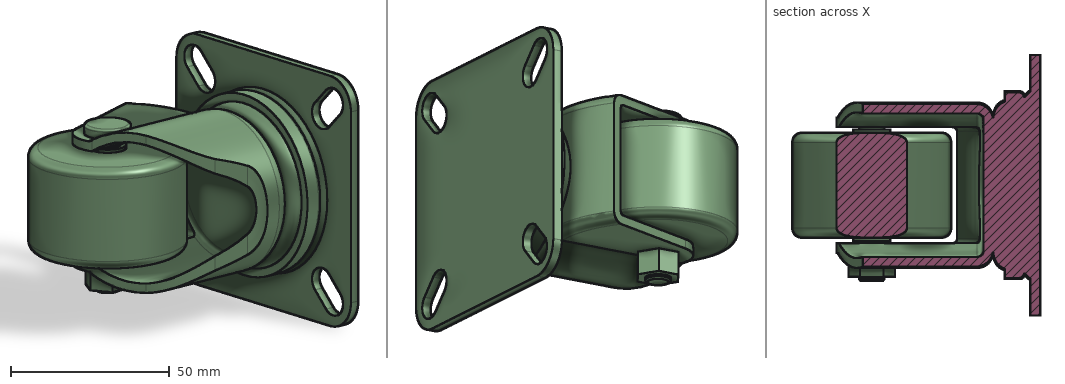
import cadquery as cq
import math


plate_side = 82.0
plate_thickness = 3.2
plate_corner_radius = 9.75
slot_width = 9.2
slot_outer_offset = 32.6
slot_inner_offset = 27.4

seat_radius = 29.9
neck_radius = 28.2
ring_start = 5.0
ring_radius = 29.6
ring_edge_radius = 1.5
ring_end = 11.25
race_start = 8.4
race_radius = 27.05
race_edge_radius = 5.2

axle_x = -18.0
axle_y = -53.0
wheel_radius = 25.0
wheel_width = 33.1
wheel_edge_radius = 3.1

sheet = 3.1
fork_start = 14.8
cup_radius = 26.0
cup_edge_radius = 5.2
channel_half_width = 21.3
channel_outer_edge_radius = 3.45
channel_inner_edge_radius = 1.35
web_radius = 37.1
axle_eye_radius = 11.1
rear_edge_tilt = 19
lower_edge_tilt = 22
lower_edge_end_x = 3.7
front_edge_bottom = (18.6, -40.4)
front_edge_top = (21.6, -29.4)
cup_rim_y = -25.0

bolt_radius = 4.0
bolt_head_radius = 7.4
bolt_head_height = 3.2
bolt_head_edge_radius = 0.8
spacer_radius = 5.9
spacer_height = 1.0
nut_across_flats = 12.7
nut_height = 7.5
bolt_protrusion = 1.35
bolt_tip_chamfer = 0.7

margin = 8.4


def disc(radius, start, end):
    """Cylinder on the swivel axis between two distances from the plate back."""
    return cq.Workplane("XZ").workplane(offset=start).circle(radius).extrude(end - start)


def axle_disc(radius, z_low, z_high):
    """Cylinder on the wheel axle between two heights."""
    return (
        cq.Workplane("XY", origin=(axle_x, axle_y, z_low))
        .circle(radius)
        .extrude(z_high - z_low)
    )


def make_plate():
    plate = (
        cq.Workplane("XZ")
        .rect(plate_side, plate_side)
        .extrude(plate_thickness)
        .edges("|Y")
        .fillet(plate_corner_radius)
    )
    slot_middle = (slot_outer_offset + slot_inner_offset) / 2
    slot_length = (slot_outer_offset - slot_inner_offset) * math.sqrt(2) + slot_width
    for x_sign in (-1, 1):
        for z_sign in (-1, 1):
            slot = (
                cq.Workplane("XZ")
                .center(x_sign * slot_middle, z_sign * slot_middle)
                .slot2D(slot_length, slot_width, 45 * x_sign * z_sign)
                .extrude(plate_thickness)
            )
            plate = plate.cut(slot)
    return plate


def make_bearing():
    seat = (
        cq.Workplane("XZ")
        .workplane(offset=plate_thickness)
        .circle(seat_radius)
        .workplane(offset=ring_start - plate_thickness)
        .circle(neck_radius)
        .loft(ruled=True)
    )
    ring = disc(ring_radius, ring_start, ring_end).faces(">Y").edges().fillet(ring_edge_radius)
    race = disc(race_radius, race_start, fork_start).faces("<Y").edges().fillet(race_edge_radius)
    return seat.union(ring).union(race)


def make_fork_form(inset, channel_edge_radius):
    """Cup joined to a U channel, with every face moved inward by the inset."""
    depth = -axle_y + web_radius
    cup = (
        disc(cup_radius - inset, fork_start + inset, depth)
        .faces(">Y")
        .edges()
        .fillet(cup_edge_radius - inset)
    )
    half_width = channel_half_width - inset
    channel = axle_disc(web_radius - inset, -half_width, half_width)
    channel = channel.edges().fillet(channel_edge_radius)
    rear_half = (
        cq.Workplane("XY")
        .box(2 * web_radius, 2 * web_radius, 2 * web_radius)
        .translate((-web_radius, axle_y, 0))
    )
    return cup.union(channel.intersect(rear_half))


def make_fork_outline():
    """Side outline of the fork, extruded through its whole width."""
    rear = math.radians(180 + rear_edge_tilt)
    lower = math.radians(lower_edge_tilt - 90)
    middle = (rear + lower + 2 * math.pi) / 2

    def eye_point(angle):
        return (
            axle_x + axle_eye_radius * math.cos(angle),
            axle_y + axle_eye_radius * math.sin(angle),
        )

    eye_rear = eye_point(rear)
    eye_lower = eye_point(lower)
    lower_edge_end = (
        lower_edge_end_x,
        eye_lower[1] + (lower_edge_end_x - eye_lower[0]) * math.tan(math.radians(lower_edge_tilt)),
    )
    rear_top = (eye_rear[0] + eye_rear[1] * math.tan(math.radians(rear_edge_tilt)), 0)
    return (
        cq.Workplane("XY")
        .moveTo(*rear_top)
        .lineTo(*eye_rear)
        .threePointArc(eye_point(middle), eye_lower)
        .lineTo(*lower_edge_end)
        .tangentArcPoint(front_edge_bottom, relative=False)
        .lineTo(*front_edge_top)
        .tangentArcPoint((cup_radius, cup_rim_y), relative=False)
        .lineTo(cup_radius + margin, cup_rim_y)
        .lineTo(cup_radius + margin, 0)
        .close()
        .extrude(cup_radius + margin, both=True)
    )


def make_fork():
    outside = make_fork_form(0, channel_outer_edge_radius)
    hollow = make_fork_form(sheet, channel_inner_edge_radius)
    return outside.cut(hollow).intersect(make_fork_outline())


def make_wheel():
    half_width = wheel_width / 2
    wheel = axle_disc(wheel_radius, -half_width, half_width).edges().fillet(wheel_edge_radius)
    spacer_top = half_width + spacer_height
    return wheel.union(axle_disc(spacer_radius, -spacer_top, spacer_top))


def make_axle():
    head_top = channel_half_width + bolt_head_height
    nut_bottom = -channel_half_width - nut_height
    head = (
        axle_disc(bolt_head_radius, channel_half_width, head_top)
        .faces(">Z")
        .edges()
        .fillet(bolt_head_edge_radius)
    )
    shank = (
        axle_disc(bolt_radius, nut_bottom - bolt_protrusion, channel_half_width)
        .faces("<Z")
        .edges()
        .chamfer(bolt_tip_chamfer)
    )
    nut = (
        cq.Workplane("XY", origin=(axle_x, axle_y, nut_bottom))
        .polygon(6, nut_across_flats, circumscribed=True)
        .extrude(nut_height)
    )
    return head.union(shank).union(nut)


result = make_plate().union(make_bearing()).union(make_fork()).union(make_wheel()).union(make_axle())